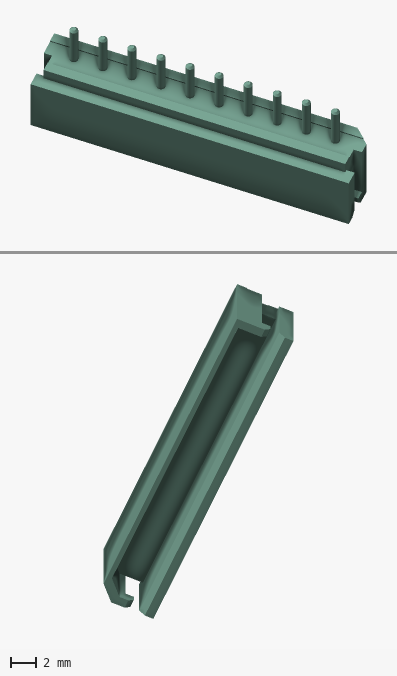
import cadquery as cq

length = 27.4
depth = 4.9
total_height = 9.4
half_length = length / 2

body_top = 5.9
front_wall_top = 4.9
front_wall_thickness = 1.23
rear_block_front = 2.75
bridge_front = 1.0
bridge_underside = 3.97
hook_front = 2.0
hook_top = 1.0
lead_in = 0.5

end_setback = 0.7
cavity_wall = 0.4
corner_cut_x = 1.3
corner_cut_y = 1.23

channel_front = 1.84
channel_rear = 4.05
channel_depth = 0.1
channel_floor = body_top - channel_depth

pin_count = 10
pin_row_span = 22.52
pin_pitch = pin_row_span / (pin_count - 1)
pin_diameter = 0.7
pin_tip_chamfer = 0.178
pin_y = 3.1


def extrude_along_length(outline, piece_length):
    """Extrude a (Y, Z) outline along X, centred on the middle of the part."""
    return cq.Workplane("YZ").polyline(outline).close().extrude(piece_length / 2, both=True)


def make_front_wall():
    outline = [
        (0, 0),
        (front_wall_thickness - lead_in, 0),
        (front_wall_thickness, lead_in),
        (front_wall_thickness, front_wall_top),
        (0, front_wall_top),
    ]
    return extrude_along_length(outline, length)


def make_rear_block():
    """Rear block with a hooked lower lip and one bevelled vertical corner."""
    outline = [
        (depth, 0),
        (depth, body_top),
        (rear_block_front, body_top),
        (rear_block_front, hook_top),
        (hook_front, hook_top),
        (hook_front, lead_in),
        (hook_front + lead_in, 0),
    ]
    corner = (
        cq.Workplane("XY")
        .moveTo(half_length, depth)
        .lineTo(half_length - corner_cut_x, depth)
        .lineTo(half_length, depth - corner_cut_y)
        .close()
        .extrude(body_top)
    )
    return extrude_along_length(outline, length).cut(corner)


def make_bridge():
    """Upper web joining the two walls, set back from both ends."""
    outline = [
        (0, bridge_underside),
        (rear_block_front, bridge_underside),
        (rear_block_front, body_top),
        (bridge_front, body_top),
        (bridge_front, front_wall_top),
        (0, front_wall_top),
    ]
    return extrude_along_length(outline, length - 2 * end_setback)


def make_cavity():
    """Socket cavity, open at the bottom, with a bevel that clears the cut corner."""
    cavity_end = half_length - end_setback
    cavity_rear = depth - cavity_wall
    return (
        cq.Workplane("XY")
        .moveTo(-cavity_end, front_wall_thickness)
        .lineTo(cavity_end, front_wall_thickness)
        .lineTo(cavity_end, cavity_rear - corner_cut_y)
        .lineTo(cavity_end - corner_cut_x, cavity_rear)
        .lineTo(-cavity_end, cavity_rear)
        .close()
        .extrude(bridge_underside)
    )


def make_channel():
    outline = [
        (channel_front, channel_floor),
        (channel_rear, channel_floor),
        (channel_rear, body_top),
        (channel_front, body_top),
    ]
    return extrude_along_length(outline, length)


def make_pins():
    return (
        cq.Workplane("XY", origin=(0, pin_y, bridge_underside))
        .rarray(pin_pitch, 0.27, pin_count, 1)
        .circle(pin_diameter / 2)
        .extrude(total_height - bridge_underside)
        .faces(">Z")
        .chamfer(pin_tip_chamfer)
    )


housing = make_front_wall().union(make_rear_block()).union(make_bridge())
housing = housing.cut(make_cavity()).cut(make_channel())
result = housing.union(make_pins())